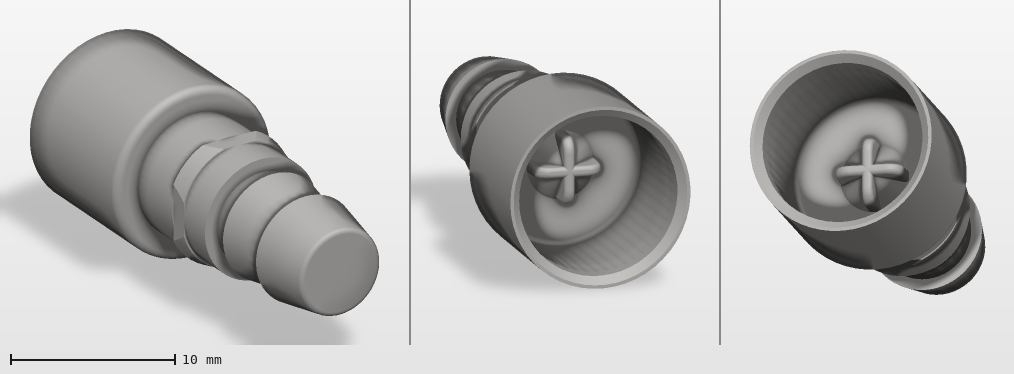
import cadquery as cq
import math

total_length = 26.5
socket_end = 9.8
neck_end = 13.75
flats_end = 14.95
collar_end = 17.35
barb_starts = (18.7, 22.47)

socket_radius = 5.7
socket_back_round = 0.5
mouth_radius = 5.49
bore_radius = 5.0
bore_floor = socket_end - (socket_radius - bore_radius)
floor_round = 0.32

neck_radius = 4.1
collar_radius = 4.03
flat_distance = 4.03
flat_half_width_back = 1.9
flat_half_width_front = 1.1

barb_radius = 3.58
barb_slope = 0.18
tip_round = 0.32

cone_radius = 2.15
cone_height = 2.15
rib_height = 2.23
rib_corner_round = 0.98
rib_tip_half_width = 0.32
rib_base_half_width = 0.42
rib_edge_round = 0.26


def x_cylinder(radius, start, end):
    return cq.Workplane("YZ", origin=(start, 0, 0)).circle(radius).extrude(end - start)


def x_cone(start_radius, end_radius, start, end):
    cone = cq.Solid.makeCone(start_radius, end_radius, end - start, cq.Vector(start, 0, 0), cq.Vector(1, 0, 0))
    return cq.Workplane(cone)


def make_socket():
    body = x_cylinder(socket_radius, 0, socket_end).faces(">X").edges().fillet(socket_back_round)
    bore = x_cylinder(bore_radius, 0, bore_floor).faces(">X").edges().fillet(floor_round)
    lead_in = x_cone(mouth_radius, bore_radius, 0, mouth_radius - bore_radius)
    return body.cut(bore).cut(lead_in)


def make_wrench_section():
    """Square with its corners turned to a cone that narrows towards the collar."""
    back_radius = math.hypot(flat_distance, flat_half_width_back)
    front_radius = math.hypot(flat_distance, flat_half_width_front)
    corners = x_cone(back_radius, front_radius, neck_end, flats_end)
    square = (
        cq.Workplane("YZ", origin=(neck_end, 0, 0))
        .rect(2 * flat_distance, 2 * flat_distance)
        .extrude(flats_end - neck_end)
    )
    return square.intersect(corners)


def make_hose_tail():
    """Short root cone followed by the barbs, all with the same slope."""
    first_barb, last_barb = barb_starts
    barb_root_radius = barb_radius - barb_slope * (last_barb - first_barb)
    root_start_radius = barb_root_radius + barb_slope * (first_barb - collar_end)
    tip_radius = barb_radius - barb_slope * (total_length - last_barb)

    root = x_cone(root_start_radius, barb_root_radius, collar_end, first_barb)
    middle = x_cone(barb_radius, barb_root_radius, first_barb, last_barb)
    tip = x_cone(barb_radius, tip_radius, last_barb, total_length).faces(">X").edges().fillet(tip_round)
    return root.union(middle).union(tip)


def make_rib():
    """Drafted rib across the cone, along Y, with rounded corners and rounded tip edges."""
    tip = bore_floor - rib_height
    envelope = x_cylinder(cone_radius, tip, bore_floor).faces("<X").edges().fillet(rib_corner_round)
    slab = (
        cq.Workplane("XZ")
        .polyline([
            (bore_floor, -rib_base_half_width),
            (tip, -rib_tip_half_width),
            (tip, rib_tip_half_width),
            (bore_floor, rib_base_half_width),
        ])
        .close()
        .extrude(cone_radius, both=True)
    )
    return slab.intersect(envelope).faces("<X").edges("|Y").fillet(rib_edge_round)


def make_centre_cone():
    cone = x_cone(0, cone_radius, bore_floor - cone_height, bore_floor)
    rib = make_rib()
    crossing_rib = rib.rotate((0, 0, 0), (1, 0, 0), 90)
    return cone.union(rib).union(crossing_rib)


result = (
    make_socket()
    .union(x_cylinder(neck_radius, socket_end, neck_end))
    .union(make_wrench_section())
    .union(x_cylinder(collar_radius, flats_end, collar_end))
    .union(make_hose_tail())
    .union(make_centre_cone())
)